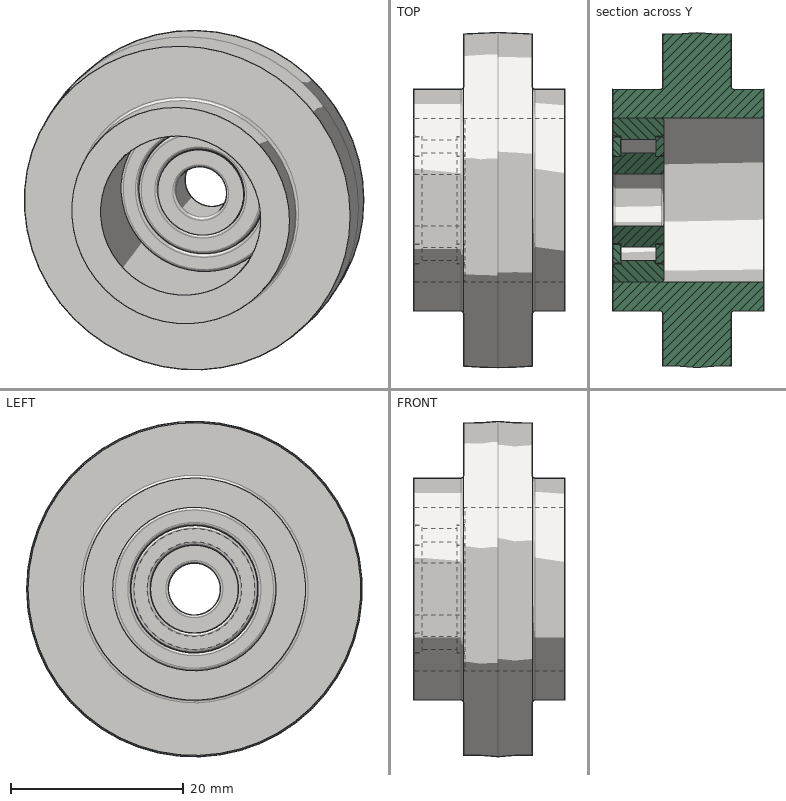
import cadquery as cq

RIM_DIAMETER = 39.0
RIM_EDGE_DIAMETER = 38.65
RIM_WIDTH = 8.0
HUB_DIAMETER = 25.8
LONG_HUB_LENGTH = 5.8
SHORT_HUB_LENGTH = 3.8
HUB_FILLET = 0.3

BEARING_DIAMETER = 19.0
BEARING_WIDTH = 6.0
BORE_DIAMETER = 6.0
OUTER_RING_INSIDE = 14.85
INNER_RING_OUTSIDE = 10.18
INNER_SHOULDER_DIAMETER = 11.0
EDGE_FILLET = 0.3

SHIELD_OUTSIDE = 14.75
SHIELD_INSIDE = 10.25
SHIELD_THICKNESS = 0.98

RIM_HALF = RIM_WIDTH / 2
LONG_HUB_END = -RIM_HALF - LONG_HUB_LENGTH
SHORT_HUB_END = RIM_HALF + SHORT_HUB_LENGTH
BEARING_BACK = LONG_HUB_END + BEARING_WIDTH

SHOULDER_START = LONG_HUB_END + SHIELD_THICKNESS
SHOULDER_WIDTH = BEARING_WIDTH - 2 * SHIELD_THICKNESS
OUTER_SHOULDER_DIAMETER = OUTER_RING_INSIDE - (INNER_SHOULDER_DIAMETER - INNER_RING_OUTSIDE)


def ring(outside, inside, start, width):
    """Plain ring along X whose first end face lies at X = start."""
    return (
        cq.Workplane("YZ", origin=(start, 0, 0))
        .circle(outside / 2)
        .circle(inside / 2)
        .extrude(width)
    )


def make_wheel():
    """Rim with a slight crown, filleted into the hubs and bored through for the bearing."""
    crown = RIM_DIAMETER / 2
    edge = RIM_EDGE_DIAMETER / 2
    hub = HUB_DIAMETER / 2
    seat = BEARING_DIAMETER / 2
    fillet_foot = RIM_HALF + HUB_FILLET
    fillet_top = hub + HUB_FILLET
    sag = HUB_FILLET * (1 - 0.5 ** 0.5)
    profile = (
        cq.Workplane("XY")
        .moveTo(LONG_HUB_END, seat)
        .lineTo(LONG_HUB_END, hub)
        .lineTo(-fillet_foot, hub)
        .threePointArc((-RIM_HALF - sag, hub + sag), (-RIM_HALF, fillet_top))
        .lineTo(-RIM_HALF, edge)
        .lineTo(0, crown)
        .lineTo(RIM_HALF, edge)
        .lineTo(RIM_HALF, fillet_top)
        .threePointArc((RIM_HALF + sag, hub + sag), (fillet_foot, hub))
        .lineTo(SHORT_HUB_END, hub)
        .lineTo(SHORT_HUB_END, seat)
        .close()
    )
    return profile.revolve(360, (0, 0, 0), (1, 0, 0))


def make_outer_ring():
    """Bearing ring rounded on its outer and inner edges, with a shoulder inside."""
    body = ring(BEARING_DIAMETER, OUTER_RING_INSIDE, LONG_HUB_END, BEARING_WIDTH)
    shoulder = ring(BEARING_DIAMETER, OUTER_SHOULDER_DIAMETER, SHOULDER_START, SHOULDER_WIDTH)
    return body.edges("%CIRCLE").fillet(EDGE_FILLET).union(shoulder)


def make_inner_ring():
    """Bearing ring rounded at the bore, with a shoulder outside."""
    body = ring(INNER_RING_OUTSIDE, BORE_DIAMETER, LONG_HUB_END, BEARING_WIDTH)
    middle_radius = (INNER_RING_OUTSIDE + BORE_DIAMETER) / 4
    bore_edges = cq.selectors.BoxSelector(
        (LONG_HUB_END - BORE_DIAMETER, -middle_radius, -middle_radius),
        (BEARING_BACK + BORE_DIAMETER, middle_radius, middle_radius),
        boundingbox=True,
    )
    shoulder = ring(INNER_SHOULDER_DIAMETER, BORE_DIAMETER, SHOULDER_START, SHOULDER_WIDTH)
    return body.edges("%CIRCLE").edges(bore_edges).fillet(EDGE_FILLET).union(shoulder)


def make_shield(start, exposed_face):
    """Flat shield rounded on both edges of its exposed face."""
    body = ring(SHIELD_OUTSIDE, SHIELD_INSIDE, start, SHIELD_THICKNESS)
    return body.faces(exposed_face).edges().fillet(EDGE_FILLET)


wheel = make_wheel()
outer_ring = make_outer_ring()
inner_ring = make_inner_ring()
shield_places = [
    (LONG_HUB_END, "<X"),
    (BEARING_BACK - SHIELD_THICKNESS, ">X"),
]
shields = [make_shield(start, face) for start, face in shield_places]

result = cq.Compound.makeCompound(
    [wheel.val(), outer_ring.val(), inner_ring.val(), *[shield.val() for shield in shields]]
)